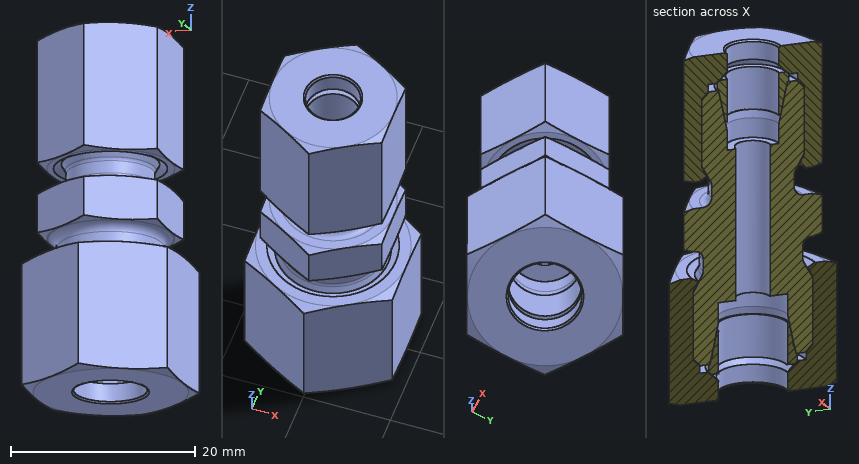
import cadquery as cq
import math


total_length = 40.0
hexagon_height = 5.0
neck_gap = 3.0
half_length = total_length / 2
half_hexagon = hexagon_height / 2
nut_inner_face = half_hexagon + neck_gap

half_sector = math.pi / 6
small_flats = 14.0
large_flats = 17.0
corner_angle = math.radians(15)
corner_inset = 0.1
envelope_margin = 0.4

upper_tube = 6.0
upper_thread = 12.0
upper_core = 10.35
upper_mouth = 12.4
upper_neck = 9.7
lower_tube = 8.0
lower_thread = 14.0
lower_core = 12.35
lower_mouth = 14.4
lower_neck = 11.7

through_bore = 4.0
root_fillet = 1.0
runout_fillet = 0.8
neck_straight = 1.4
runout_angle = math.radians(30)
socket_depth = 7.0
taper_angle = math.radians(12)
mouth_growth = 1.0

nut_bore_depth = 2.25
nut_entry_chamfer = 0.2
mouth_angle = math.radians(60)
ferrule_depth = 3.1
collar_growth = 1.2
collar_height = 0.8
nose_wall = 0.2

nut_bore_end = half_length - nut_bore_depth
ferrule_rear = half_length - ferrule_depth
collar_top = nut_bore_end - collar_growth
stud_end = collar_top - collar_height


def revolve_profile(profile):
    """Turn a closed outline of radius (X) and height (Y) about the Z axis."""
    return profile.close().revolve(360, (0, 0, 0), (0, 1, 0))


def outline(points):
    return cq.Workplane("XZ").polyline(points)


def hexagon(flats, bottom, top):
    """Hexagonal prism with two corners on the Y axis and conically rounded-off ends."""
    corner_diameter = flats / math.cos(half_sector)
    prism = (
        cq.Workplane("XY", origin=(0, 0, bottom))
        .polygon(6, corner_diameter)
        .extrude(top - bottom)
        .rotate((0, 0, 0), (0, 0, 1), math.degrees(half_sector))
    )
    end_radius = (flats - corner_inset) / 2
    outer_radius = corner_diameter / 2 + envelope_margin
    drop = (outer_radius - end_radius) * math.tan(corner_angle)
    envelope = revolve_profile(outline([
        (0, bottom),
        (end_radius, bottom),
        (outer_radius, bottom + drop),
        (outer_radius, top - drop),
        (end_radius, top),
        (0, top),
    ]))
    return prism.intersect(envelope)


def neck_arc_point(neck_radius, tangent_height, fillet, angle):
    """Point on a neck fillet, turned upward by an angle from where it leaves the neck."""
    radius = neck_radius + fillet * (1 - math.cos(angle))
    height = tangent_height + fillet * math.sin(angle)
    return radius, height


def make_stud(neck, thread, core):
    """Upward stud: filleted neck, conical run-out, then the thread with its tip chamfered to the core."""
    neck_radius = neck / 2
    thread_radius = thread / 2
    core_radius = core / 2
    root_radius = neck_radius + root_fillet
    straight_bottom = half_hexagon + root_fillet
    straight_top = straight_bottom + neck_straight
    root_middle = neck_arc_point(neck_radius, straight_bottom, root_fillet, -math.pi / 4)
    runout_middle = neck_arc_point(neck_radius, straight_top, runout_fillet, runout_angle / 2)
    runout_start = neck_arc_point(neck_radius, straight_top, runout_fillet, runout_angle)
    runout_rise = (thread_radius - runout_start[0]) / math.tan(runout_angle)
    return revolve_profile(
        cq.Workplane("XZ")
        .moveTo(0, 0)
        .lineTo(root_radius, 0)
        .lineTo(root_radius, half_hexagon)
        .threePointArc(root_middle, (neck_radius, straight_bottom))
        .lineTo(neck_radius, straight_top)
        .threePointArc(runout_middle, runout_start)
        .lineTo(thread_radius, runout_start[1] + runout_rise)
        .lineTo(thread_radius, stud_end - (thread_radius - core_radius))
        .lineTo(core_radius, stud_end)
        .lineTo(0, stud_end)
    )


def make_socket(tube):
    """Tube socket cut into a stud: tapered mouth, then a bore down to the tube stop."""
    tube_radius = tube / 2
    return revolve_profile(outline([
        (0, stud_end - socket_depth),
        (tube_radius, stud_end - socket_depth),
        (tube_radius, stud_end - mouth_growth / math.tan(taper_angle)),
        (tube_radius + mouth_growth, stud_end),
        (0, stud_end),
    ]))


def make_nut(flats, tube, core, mouth, stud):
    """Upper-end nut: countersunk core bore fitted to its stud, 45 degree seat and tube bore."""
    tube_radius = tube / 2
    core_radius = core / 2
    mouth_radius = mouth / 2
    mouth_depth = (mouth_radius - core_radius) / math.tan(mouth_angle)
    cavity = revolve_profile(outline([
        (0, nut_inner_face),
        (mouth_radius, nut_inner_face),
        (core_radius, nut_inner_face + mouth_depth),
        (core_radius, collar_top),
        (tube_radius + collar_growth, collar_top),
        (tube_radius, nut_bore_end),
        (tube_radius, half_length - nut_entry_chamfer),
        (tube_radius + nut_entry_chamfer, half_length),
        (0, half_length),
    ]))
    return hexagon(flats, nut_inner_face, half_length).cut(cavity).cut(stud)


def make_ferrule(tube):
    """Upper-end ferrule: 45 degree rear shoulder, collar and tapered nose."""
    tube_radius = tube / 2
    collar_radius = tube_radius + collar_growth
    nose_end = stud_end - (mouth_growth - nose_wall) / math.tan(taper_angle)
    return revolve_profile(outline([
        (tube_radius, nose_end),
        (tube_radius + nose_wall, nose_end),
        (tube_radius + mouth_growth, stud_end),
        (collar_radius, stud_end),
        (collar_radius, collar_top),
        (tube_radius + nut_bore_end - ferrule_rear, ferrule_rear),
        (tube_radius, ferrule_rear),
    ]))


def to_lower_end(body):
    return body.mirror("XY")


upper_stud = make_stud(upper_neck, upper_thread, upper_core)
lower_stud = make_stud(lower_neck, lower_thread, lower_core)

connector = (
    hexagon(small_flats, -half_hexagon, half_hexagon)
    .union(upper_stud)
    .union(to_lower_end(lower_stud))
    .cut(make_socket(upper_tube))
    .cut(to_lower_end(make_socket(lower_tube)))
    .cut(cq.Workplane("XY").circle(through_bore / 2).extrude(half_length, both=True))
)

upper_nut = make_nut(small_flats, upper_tube, upper_core, upper_mouth, upper_stud)
lower_nut = to_lower_end(make_nut(large_flats, lower_tube, lower_core, lower_mouth, lower_stud))
upper_ferrule = make_ferrule(upper_tube)
lower_ferrule = to_lower_end(make_ferrule(lower_tube))

result = cq.Compound.makeCompound([
    connector.val(),
    upper_nut.val(),
    lower_nut.val(),
    upper_ferrule.val(),
    lower_ferrule.val(),
])